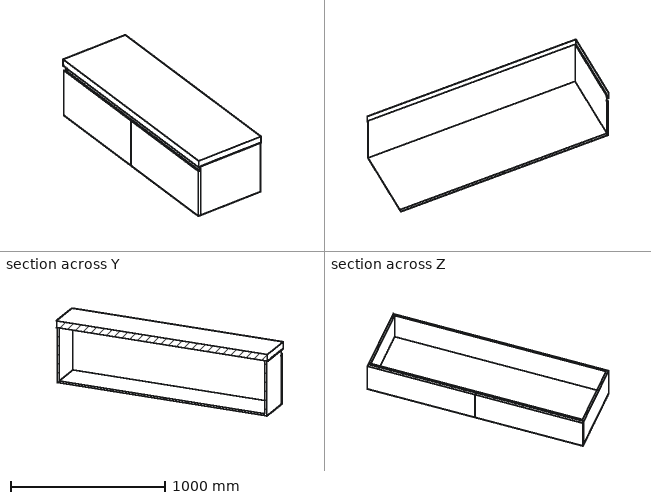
import cadquery as cq

total_width = 1500.0
total_depth = 500.0
total_height = 430.0

top_thickness = 50.0
side_overhang = 6.0
front_overhang = 20.0

panel_thickness = 16.0
carcass_width = total_width - 2 * side_overhang
carcass_depth = total_depth - front_overhang
carcass_height = total_height - top_thickness
inner_left = side_overhang + panel_thickness
inner_width = carcass_width - 2 * panel_thickness
inner_height = carcass_height - panel_thickness

front_count = 2
front_thickness = 18.0
finger_gap = 33.0
centre_gap = 3.0
grip_bevel_depth = 12.0
grip_bevel_drop = 9.0
front_height = carcass_height - finger_gap
front_width = (carcass_width - (front_count - 1) * centre_gap) / front_count


def box_at(x, y, z, width, depth, height):
    """Box with its lowest corner at (x, y, z)."""
    return cq.Workplane("XY").box(width, depth, height, centered=False).translate((x, y, z))


def make_worktop():
    return box_at(0, 0, carcass_height, total_width, total_depth, top_thickness)


def make_carcass():
    """Two sides, floor and back, open at the front and top."""
    outer = box_at(side_overhang, front_overhang, 0, carcass_width, carcass_depth, carcass_height)
    inner_depth = carcass_depth - panel_thickness
    cavity = box_at(inner_left, front_overhang, panel_thickness, inner_width, inner_depth, inner_height)
    return outer.cut(cavity)


def make_inset_panel():
    """Panel between the carcass sides, flush with their front edges."""
    return box_at(inner_left, front_overhang, panel_thickness, inner_width, panel_thickness, inner_height)


def make_drawer_front(left):
    """Drawer front with a finger-grip bevel along its upper rear edge."""
    back = front_overhang
    face = back - front_thickness
    profile = [
        (face, 0),
        (back, 0),
        (back, front_height - grip_bevel_drop),
        (back - grip_bevel_depth, front_height),
        (face, front_height),
    ]
    return cq.Workplane("YZ").polyline(profile).close().extrude(front_width).translate((left, 0, 0))


worktop = make_worktop()
carcass = make_carcass()
inset_panel = make_inset_panel()
drawer_fronts = []
for index in range(front_count):
    left_edge = side_overhang + index * (front_width + centre_gap)
    drawer_fronts.append(make_drawer_front(left_edge).val())

result = cq.Compound.makeCompound([worktop.val(), carcass.val(), inset_panel.val(), *drawer_fronts])